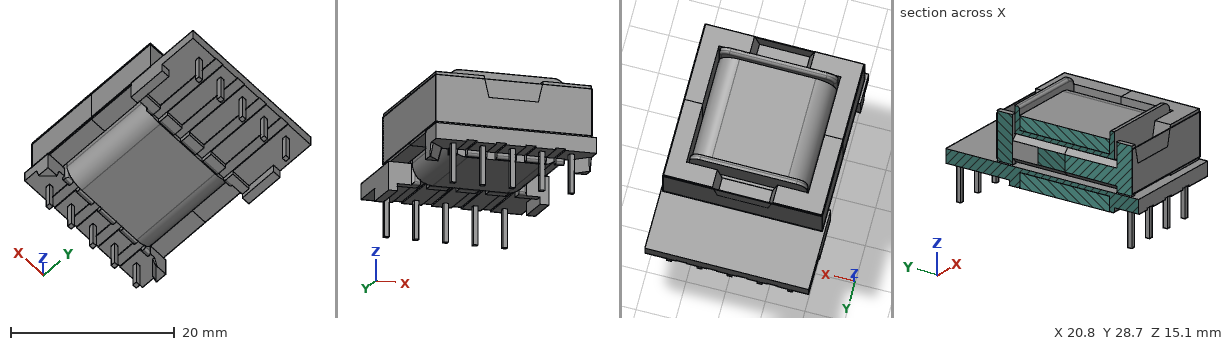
import cadquery as cq

TURN_ANGLE = -0.24

CORE_SIDE = 20.0
CORE_BOTTOM = 7.05
CORE_TOP = 13.75
WINDOW_SIDE = 15.4
LEG_WIDTH = 8.95
LEG_BOTTOM = 7.25
LEG_TOP = 10.98
LEG_CHAMFER = 0.7
RECESS_FLOOR_Z = 11.05
RECESS_MOUTH_WIDTH = 7.62
RECESS_FLOOR_WIDTH = 6.35

TAPE_THICKNESS = 0.1
TAPE_BOTTOM = 7.4
TAPE_TOP = 13.35

WINDING_WIDTH = 14.85
WINDING_BOTTOM = 4.2
WINDING_TOP = 13.87
WINDING_CORNER = 2.6

BASE_WIDTH = 20.7
BASE_BOTTOM = 4.93
BASE_TOP = 6.95
BASE_INNER = 7.05
BASE_FRONT = -11.0
BASE_REAR = 17.57
FLANGE_OUTER = 7.4
FLANGE_THICKNESS = 0.75
FLANGE_TOP = 15.05
FLANGE_CORNER = 1.32
FLANGE_FILLET = 0.35
TUBE_CLEARANCE = LEG_BOTTOM - BASE_TOP
TUBE_WALL = 0.57

FOOT_BOTTOM = 3.3
REAR_FOOT_WIDTH = 1.15
REAR_FOOT_LENGTH = 5.3
FRONT_FOOT_SIDE = 1.98
FRONT_FOOT_LAND = 0.32
FRONT_FOOT_TIP_SIDE = 1.58
FRONT_FOOT_TIP_LAND = 0.11

PIN_COUNT = 5
PIN_PITCH = 3.8
PIN_WIDTH = 0.6
PIN_ROWS = (-9.43, 15.95)
NOTCH_WIDTH = 1.25
NOTCH_TOP = 5.13


def block(x_min, x_max, y_min, y_max, z_min, z_max):
    """Box between the given limits."""
    size = (x_max - x_min, y_max - y_min, z_max - z_min)
    return cq.Workplane("XY").box(*size, centered=False).translate((x_min, y_min, z_min))


def centred_block(width, y_min, y_max, z_min, z_max):
    """Box that is symmetric about X = 0."""
    return block(-width / 2, width / 2, y_min, y_max, z_min, z_max)


def square_block(side, z_min, z_max):
    """Box with a square plan centred on the core."""
    return centred_block(side, -side / 2, side / 2, z_min, z_max)


def extrude_along_y(outline, y_min, y_max):
    """Extrude an outline given as X, Z points from y_min to y_max."""
    return (
        cq.Workplane("XZ", origin=(0, y_min, 0))
        .polyline(outline)
        .close()
        .extrude(y_min - y_max)
    )


def recess(mouth_z, floor_z, floor_width):
    """Trapezoidal channel through the front and rear walls of the core."""
    outline = [
        (-RECESS_MOUTH_WIDTH / 2, mouth_z),
        (-floor_width / 2, floor_z),
        (floor_width / 2, floor_z),
        (RECESS_MOUTH_WIDTH / 2, mouth_z),
    ]
    return extrude_along_y(outline, -CORE_SIDE / 2, CORE_SIDE / 2)


def make_core():
    """Whole core: a square frame, recessed front and rear, with a flat centre leg."""
    slope = (RECESS_MOUTH_WIDTH - RECESS_FLOOR_WIDTH) / (CORE_TOP - RECESS_FLOOR_Z)
    lower_floor = RECESS_MOUTH_WIDTH - slope * (LEG_BOTTOM - CORE_BOTTOM)
    leg = centred_block(LEG_WIDTH, -WINDOW_SIDE / 2, WINDOW_SIDE / 2, LEG_BOTTOM, LEG_TOP)
    return (
        square_block(CORE_SIDE, CORE_BOTTOM, CORE_TOP)
        .cut(square_block(WINDOW_SIDE, CORE_BOTTOM, CORE_TOP))
        .cut(recess(CORE_TOP, RECESS_FLOOR_Z, RECESS_FLOOR_WIDTH))
        .cut(recess(CORE_BOTTOM, LEG_BOTTOM, lower_floor))
        .union(leg.edges("|Y").chamfer(LEG_CHAMFER))
    )


def make_core_half(side):
    """Half of the core in front of (side = -1) or behind (side = 1) the seam."""
    reach = side * CORE_SIDE / 2
    half_space = centred_block(CORE_SIDE, min(0, reach), max(0, reach), CORE_BOTTOM, CORE_TOP)
    return make_core().intersect(half_space)


def make_tape():
    """Thin square band around the core."""
    outer = square_block(CORE_SIDE + 2 * TAPE_THICKNESS, TAPE_BOTTOM, TAPE_TOP)
    return outer.cut(square_block(CORE_SIDE, TAPE_BOTTOM, TAPE_TOP))


def leg_envelope(margin):
    """Box around the centre leg and through both flanges, larger by a margin on each side."""
    return centred_block(
        LEG_WIDTH + 2 * margin, -FLANGE_OUTER, FLANGE_OUTER, LEG_BOTTOM - margin, LEG_TOP + margin
    )


def make_winding():
    """Rounded coil between the flanges, wound on the bobbin tube."""
    half_length = FLANGE_OUTER - FLANGE_THICKNESS
    coil = centred_block(WINDING_WIDTH, -half_length, half_length, WINDING_BOTTOM, WINDING_TOP)
    return coil.edges("|Y").fillet(WINDING_CORNER).cut(leg_envelope(TUBE_CLEARANCE + TUBE_WALL))


def make_flange():
    """Rear flange: rounded upper corners, softened inner rim and lower edge."""
    inner = FLANGE_OUTER - FLANGE_THICKNESS
    return (
        centred_block(WINDING_WIDTH, inner, FLANGE_OUTER, WINDING_BOTTOM, FLANGE_TOP)
        .edges("|Y and >Z")
        .fillet(FLANGE_CORNER)
        .faces("<Y")
        .edges()
        .fillet(FLANGE_FILLET)
        .edges("<Z and >Y")
        .fillet(FLANGE_FILLET)
    )


def make_rear_foot():
    """Left rear foot: a plain rail along the side of the rear bar."""
    side = -BASE_WIDTH / 2
    rear = BASE_INNER + REAR_FOOT_LENGTH
    return block(side, side + REAR_FOOT_WIDTH, BASE_INNER, rear, FOOT_BOTTOM, BASE_BOTTOM)


def make_rear_wall():
    """Wall below the inner edge of the rear bar, from foot to foot."""
    return centred_block(
        BASE_WIDTH, BASE_INNER, BASE_INNER + REAR_FOOT_WIDTH, WINDING_BOTTOM, BASE_BOTTOM
    )


def front_foot_outline(size, land):
    """Square with one corner cut off diagonally, starting at the foot's fixed corner."""
    return [(0, 0), (size, 0), (size, -land), (land, -size), (0, -size)]


def make_front_foot():
    """Left front foot, tapering downward on the faces away from the bar's corner."""
    return (
        cq.Workplane("XY", origin=(-BASE_WIDTH / 2, -BASE_INNER, BASE_BOTTOM))
        .polyline(front_foot_outline(FRONT_FOOT_SIDE, FRONT_FOOT_LAND))
        .close()
        .workplane(offset=FOOT_BOTTOM - BASE_BOTTOM)
        .polyline(front_foot_outline(FRONT_FOOT_TIP_SIDE, FRONT_FOOT_TIP_LAND))
        .close()
        .loft(ruled=True)
    )


def make_bobbin():
    """Base bars with feet and pins, joined by the flanged tube around the centre leg."""
    bobbin = centred_block(BASE_WIDTH, BASE_FRONT, -BASE_INNER, BASE_BOTTOM, BASE_TOP)
    bobbin = bobbin.union(centred_block(BASE_WIDTH, BASE_INNER, BASE_REAR, BASE_BOTTOM, BASE_TOP))
    bobbin = bobbin.union(make_rear_wall())
    bobbin = bobbin.union(make_flange()).union(make_flange().mirror("XZ"))
    bobbin = bobbin.union(leg_envelope(TUBE_CLEARANCE + TUBE_WALL))
    bobbin = bobbin.cut(leg_envelope(TUBE_CLEARANCE))

    for foot in (make_rear_foot(), make_front_foot()):
        bobbin = bobbin.union(foot).union(foot.mirror("YZ"))

    for index in range(PIN_COUNT - 1):
        x = (index - (PIN_COUNT - 2) / 2) * PIN_PITCH
        left = x - NOTCH_WIDTH / 2
        right = x + NOTCH_WIDTH / 2
        bobbin = bobbin.cut(block(left, right, BASE_FRONT, BASE_REAR, WINDING_BOTTOM, NOTCH_TOP))

    for row in PIN_ROWS:
        for index in range(PIN_COUNT):
            x = (index - (PIN_COUNT - 1) / 2) * PIN_PITCH
            pin = centred_block(PIN_WIDTH, -PIN_WIDTH / 2, PIN_WIDTH / 2, 0, BASE_BOTTOM)
            bobbin = bobbin.union(pin.translate((x, row, 0)))
    return bobbin


def turned(body):
    """Turn a body about the vertical axis through the core centre."""
    return body.rotate((0, 0, 0), (0, 0, 1), TURN_ANGLE)


core_halves = [turned(make_core_half(side)) for side in (-1, 1)]
tape = turned(make_tape())
winding = turned(make_winding())
bobbin = turned(make_bobbin())

result = cq.Compound.makeCompound(
    [*(half.val() for half in core_halves), tape.val(), winding.val(), bobbin.val()]
)